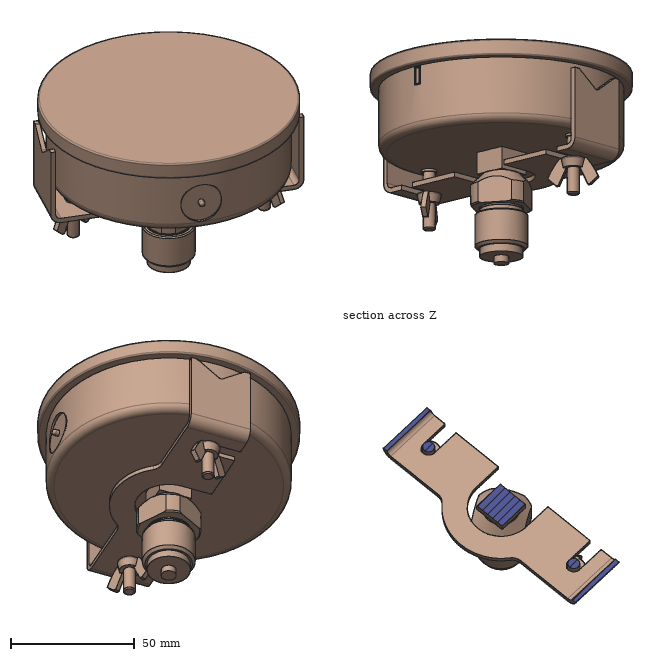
import cadquery as cq
import math


CASE_RADIUS = 49.5
CASE_EDGE_RADIUS = 3.2
BEZEL_RADIUS = 52.9
BEZEL_BOTTOM = 26.5
BEZEL_TOP = 33.3
BEZEL_EDGE_RADIUS = 0.6

VENT_HEIGHT = 12.1
VENT_RECESS_RADIUS = 8.5
VENT_RECESS_DEPTH = 1.1
VENT_NUB_RADIUS = 1.3
VENT_NUB_LENGTH = 1.7

SIDE_FRAME_WIDTH = 2.9
SIDE_FRAME_LENGTH = 7.4
SIDE_FRAME_TOP = 26.2
SIDE_FRAME_GROOVE_WIDTH = 0.4
SIDE_FRAME_DEPTH = 0.4

SHANK_WIDTH = 14.0
NUT_TOP = -9.1
NUT_BOTTOM = -23.3
NUT_FLATS = 21.9
NUT_CORNER_DIAMETER = 26.0
NUT_TOP_RADIUS = 7.5
NUT_BOTTOM_CHAMFER = 0.5
NUT_TURN = 29.2
NECK_RADIUS = 9.0
GROOVE_RADIUS = 8.7
GROOVE_TOP = -24.0
GROOVE_BOTTOM = -25.5
SLEEVE_RADIUS = 10.7
SLEEVE_TOP = -25.9
SLEEVE_BOTTOM = -40.3
SLEEVE_TOP_CHAMFER = 0.5
SLEEVE_BOTTOM_CHAMFER = 1.2
SPIGOT_DIAMETER = 17.5
SPIGOT_BOTTOM = -43.5
TIP_DIAMETER = 6.0
TIP_BOTTOM = -46.3

STRAP_THICKNESS = 2.0
STRAP_WIDTH = 26.0
STRAP_BOTTOM = -10.1
BRACKET_HALF_SPAN = 53.0
BRACKET_TOP = 23.3
BEND_RADIUS = 4.2
NOTCH_HALF_WIDTH = 10.4
NOTCH_DEPTH = 7.3
NOTCH_ROUNDING = 1.6
STEM_SLOT_RADIUS = 13.7
TAB_RADIUS = 24.0
TAB_BLEND_RADIUS = 5.0

STUD_OFFSET = 40.0
STUD_DIAMETER = 5.0
STUD_BOTTOM = -24.8
STUD_CHAMFER = 0.5
STUD_SLOT_DIAMETER = 6.0
COLLAR_DIAMETER = 6.5
COLLAR_HEIGHT = 1.0
HUB_TOP_RADIUS = 4.9
HUB_BOTTOM_RADIUS = 4.0
HUB_HEIGHT = 3.8
HUB_LIP = 0.5
WING_THICKNESS = 2.1
WING_DROP = 10.9
WING_ROOT_RADIUS = 5.6
WING_TIP_RADIUS = 10.4
WING_TIP_DROP = 8.0
WING_FOOT_OUTER = 7.1
WING_FOOT_INNER = 6.0
WING_BULGE_RADIUS = 8.3
WING_BULGE_DROP = 3.7
WING_INNER_RADIUS = 2.8
WING_TURN = 30.0


def cylinder(radius, bottom, top):
    return cq.Workplane("XY").workplane(offset=bottom).circle(radius).extrude(top - bottom)


def block(x_range, y_range, z_range):
    return cq.Workplane("XY").box(
        x_range[1] - x_range[0], y_range[1] - y_range[0], z_range[1] - z_range[0], centered=False
    ).translate((x_range[0], y_range[0], z_range[0]))


def make_case():
    body = cylinder(CASE_RADIUS, 0, BEZEL_BOTTOM).faces("<Z").edges().fillet(CASE_EDGE_RADIUS)
    bezel = cylinder(BEZEL_RADIUS, BEZEL_BOTTOM, BEZEL_TOP).edges().fillet(BEZEL_EDGE_RADIUS)
    return body.union(bezel)


def add_vent(case):
    floor = CASE_RADIUS - VENT_RECESS_DEPTH
    plane = cq.Workplane("YZ", origin=(floor, 0, VENT_HEIGHT))
    recess = plane.circle(VENT_RECESS_RADIUS).extrude(VENT_RECESS_DEPTH)
    shaft_length = VENT_RECESS_DEPTH + VENT_NUB_LENGTH - VENT_NUB_RADIUS
    shaft = plane.circle(VENT_NUB_RADIUS).extrude(shaft_length)
    dome = cq.Workplane("XY", origin=(floor + shaft_length, 0, VENT_HEIGHT)).sphere(VENT_NUB_RADIUS)
    return case.cut(recess).union(shaft).union(dome)


def cut_side_frame(case):
    outside = (SIDE_FRAME_WIDTH, SIDE_FRAME_LENGTH)
    inside = (size - 2 * SIDE_FRAME_GROOVE_WIDTH for size in outside)
    center = (-CASE_RADIUS, 0, SIDE_FRAME_TOP - SIDE_FRAME_LENGTH / 2)
    plane = cq.Workplane("YZ", origin=center)
    return case.cut(plane.rect(*outside).rect(*inside).extrude(SIDE_FRAME_DEPTH))


def make_nut():
    """Square nut whose corners are turned round and whose top is a cone."""
    height = NUT_TOP - NUT_BOTTOM
    corner_radius = NUT_CORNER_DIAMETER / 2
    square = (
        cq.Workplane("XY").workplane(offset=NUT_BOTTOM).rect(NUT_FLATS, NUT_FLATS).extrude(height)
        .rotate((0, 0, 0), (0, 0, 1), NUT_TURN)
    )
    turned = (
        cylinder(corner_radius, NUT_BOTTOM, NUT_TOP)
        .faces(">Z").edges().chamfer(corner_radius - NUT_TOP_RADIUS)
        .faces("<Z").edges().chamfer(NUT_BOTTOM_CHAMFER)
    )
    return square.intersect(turned)


def make_stem():
    half = SHANK_WIDTH / 2
    shank = block((-half, half), (-half, half), (NUT_TOP, 0))
    neck = (
        cylinder(NECK_RADIUS, GROOVE_TOP, NUT_BOTTOM)
        .union(cylinder(GROOVE_RADIUS, GROOVE_BOTTOM, GROOVE_TOP))
        .union(cylinder(NECK_RADIUS, SLEEVE_TOP, GROOVE_BOTTOM))
    )
    sleeve = (
        cylinder(SLEEVE_RADIUS, SLEEVE_BOTTOM, SLEEVE_TOP)
        .faces(">Z").edges().chamfer(SLEEVE_TOP_CHAMFER)
        .faces("<Z").edges().chamfer(SLEEVE_BOTTOM_CHAMFER)
    )
    spigot = cylinder(SPIGOT_DIAMETER / 2, SPIGOT_BOTTOM, SLEEVE_BOTTOM)
    tip = cylinder(TIP_DIAMETER / 2, TIP_BOTTOM, SPIGOT_BOTTOM)
    return shank.union(make_nut()).union(neck).union(sleeve).union(spigot).union(tip)


def open_slot(radius, y):
    """Cutter for a round-ended slot that opens through the -X edge of the strap."""
    return cylinder(radius, STRAP_BOTTOM, STRAP_BOTTOM + STRAP_THICKNESS).translate((0, y, 0)).union(
        block(
            (-STRAP_WIDTH, 0),
            (y - radius, y + radius),
            (STRAP_BOTTOM, STRAP_BOTTOM + STRAP_THICKNESS),
        )
    )


def make_tab():
    """Round rim around the stem slot on the +X side, blended into the strap edge."""
    edge = STRAP_WIDTH / 2
    blend_x = edge + TAB_BLEND_RADIUS
    blend_angle = math.acos(blend_x / (TAB_RADIUS + TAB_BLEND_RADIUS))
    blend_y = blend_x * math.tan(blend_angle)
    rim_x = TAB_RADIUS * math.cos(blend_angle)
    rim_y = TAB_RADIUS * math.sin(blend_angle)
    mid_x = blend_x - TAB_BLEND_RADIUS * math.cos(blend_angle / 2)
    mid_y = blend_y - TAB_BLEND_RADIUS * math.sin(blend_angle / 2)
    return (
        cq.Workplane("XY").workplane(offset=STRAP_BOTTOM)
        .moveTo(0, -blend_y).lineTo(edge, -blend_y)
        .threePointArc((mid_x, -mid_y), (rim_x, -rim_y))
        .threePointArc((TAB_RADIUS, 0), (rim_x, rim_y))
        .threePointArc((mid_x, mid_y), (edge, blend_y))
        .lineTo(0, blend_y).close().extrude(STRAP_THICKNESS)
    )


def make_bracket():
    half = STRAP_WIDTH / 2
    inner_span = BRACKET_HALF_SPAN - STRAP_THICKNESS
    outer = block((-half, half), (-BRACKET_HALF_SPAN, BRACKET_HALF_SPAN), (STRAP_BOTTOM, BRACKET_TOP))
    inner = block((-half, half), (-inner_span, inner_span), (STRAP_BOTTOM + STRAP_THICKNESS, BRACKET_TOP))
    outer = outer.faces("<Z").edges("|X").fillet(BEND_RADIUS)
    inner = inner.faces("<Z").edges("|X").fillet(BEND_RADIUS - STRAP_THICKNESS)
    notch = (
        cq.Workplane("XZ", origin=(0, BRACKET_HALF_SPAN, 0))
        .moveTo(-NOTCH_HALF_WIDTH, BRACKET_TOP)
        .lineTo(0, BRACKET_TOP - NOTCH_DEPTH)
        .lineTo(NOTCH_HALF_WIDTH, BRACKET_TOP)
        .close().extrude(2 * BRACKET_HALF_SPAN)
        .edges("<Z").fillet(NOTCH_ROUNDING)
    )
    bracket = outer.cut(inner).cut(notch).union(make_tab()).cut(open_slot(STEM_SLOT_RADIUS, 0))
    for y in (-STUD_OFFSET, STUD_OFFSET):
        bracket = bracket.cut(open_slot(STUD_SLOT_DIAMETER / 2, y))
    return bracket


def make_wing_nut():
    """Hub and two drooping wings along X, hanging from the strap around the Z axis."""
    hub = (
        cq.Workplane("XZ", origin=(0, 0, STRAP_BOTTOM))
        .lineTo(HUB_TOP_RADIUS, 0).lineTo(HUB_TOP_RADIUS, -HUB_LIP)
        .lineTo(HUB_BOTTOM_RADIUS, -HUB_HEIGHT).lineTo(0, -HUB_HEIGHT)
        .close().revolve()
    )
    wing = (
        cq.Workplane("XZ", origin=(0, WING_THICKNESS / 2, STRAP_BOTTOM))
        .moveTo(0, 0).lineTo(WING_ROOT_RADIUS, 0)
        .threePointArc((WING_BULGE_RADIUS, -WING_BULGE_DROP), (WING_TIP_RADIUS, -WING_TIP_DROP))
        .lineTo(WING_FOOT_OUTER, -WING_DROP).lineTo(WING_FOOT_INNER, -WING_DROP)
        .lineTo(WING_INNER_RADIUS, -HUB_HEIGHT).lineTo(0, -HUB_HEIGHT)
        .close().extrude(WING_THICKNESS)
    )
    return hub.union(wing).union(wing.mirror("YZ"))


def make_fastener(y, turn):
    stud = cylinder(STUD_DIAMETER / 2, STUD_BOTTOM, 0).faces("<Z").edges().chamfer(STUD_CHAMFER)
    collar = cylinder(COLLAR_DIAMETER / 2, -COLLAR_HEIGHT, 0)
    wing_nut = make_wing_nut().rotate((0, 0, 0), (0, 0, 1), turn)
    return stud.union(collar).union(wing_nut).translate((0, y, 0))


case = cut_side_frame(add_vent(make_case()))
result = case.union(make_stem()).union(make_bracket())
result = result.union(make_fastener(STUD_OFFSET, WING_TURN))
result = result.union(make_fastener(-STUD_OFFSET, WING_TURN + 90))